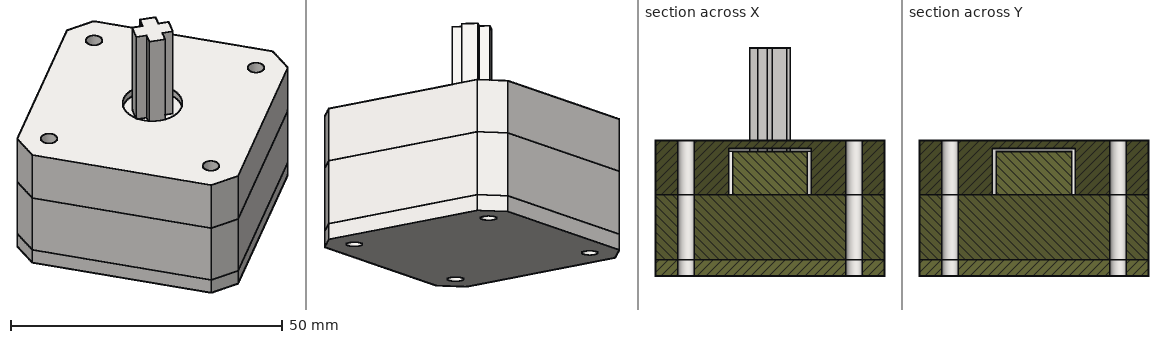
import cadquery as cq

housing_width = 42.3
corner_cut = 4.0
base_height = 3.0
ring_height = 12.0
cover_height = 10.0
cover_bottom = base_height + ring_height

screw_hole_diameter = 3.0
screw_hole_spacing = 31.0

opening_diameter = 11.0
lip_thickness = 1.5
pocket_diameter = 34.5
pocket_depth = cover_height - lip_thickness

carrier_diameter = 34.0
carrier_top_gap = 0.5
carrier_thickness = pocket_depth - carrier_top_gap

total_height = 42.1
cross_span = 7.0
cross_arm_width = 3.0
cross_angle = 30.0


def make_layer(bottom, height):
    """One housing layer: a square block with cut corners and four screw holes."""
    return (
        cq.Workplane("XY", origin=(0, 0, bottom))
        .rect(housing_width, housing_width)
        .extrude(height)
        .edges("|Z")
        .chamfer(corner_cut)
        .faces(">Z")
        .workplane(origin=(0, 0, 0))
        .rect(screw_hole_spacing, screw_hole_spacing, forConstruction=True)
        .vertices()
        .hole(screw_hole_diameter)
    )


def make_cover():
    """Top layer, hollowed from below and open at the centre for the shaft."""
    pocket = (
        cq.Workplane("XY", origin=(0, 0, cover_bottom))
        .circle(pocket_diameter / 2)
        .extrude(pocket_depth)
    )
    opening = (
        cq.Workplane("XY", origin=(0, 0, cover_bottom))
        .circle(opening_diameter / 2)
        .extrude(cover_height)
    )
    return make_layer(cover_bottom, cover_height).cut(pocket).cut(opening)


def make_output_shaft():
    """Carrier disc resting on the middle layer, with a cross-shaped shaft rising from it."""
    shaft = (
        cq.Workplane("XY", origin=(0, 0, cover_bottom))
        .circle(carrier_diameter / 2)
        .extrude(carrier_thickness)
    )
    carrier_top = cover_bottom + carrier_thickness
    for arm_angle in (cross_angle, cross_angle + 90):
        arm = (
            cq.Workplane("XY", origin=(0, 0, carrier_top))
            .rect(cross_span, cross_arm_width)
            .extrude(total_height - carrier_top)
            .rotate((0, 0, 0), (0, 0, 1), arm_angle)
        )
        shaft = shaft.union(arm)
    return shaft


base = make_layer(0, base_height)
ring = make_layer(base_height, ring_height)
cover = make_cover()
output_shaft = make_output_shaft()

result = cq.Compound.makeCompound([
    base.val(),
    ring.val(),
    cover.val(),
    output_shaft.val(),
])